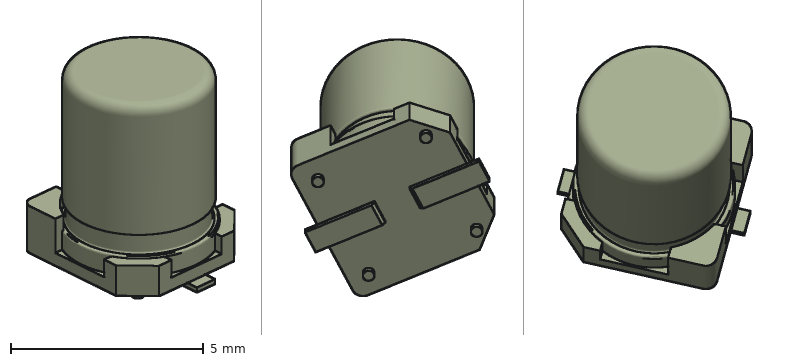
import cadquery as cq

total_height = 5.5
lead_span = 5.0
base_width = 4.3

lead_thickness = 0.15
lead_width = 0.66
lead_gap = 1.0
lead_chamfer = 0.09
foot_diameter = 0.3
foot_offset = 1.55

notch_floor_z = 0.535
low_post_z = 1.05
tall_post_z = 1.545
notch_width = 1.82
corner_radius = 0.3
corner_chamfer = 0.79
ring_radius = 2.105
ring_fillet = 0.05
ring_top_z = low_post_z + ring_fillet
post_bore_radius = ring_radius - ring_fillet

can_radius = 2.0
can_bottom_z = 1.68
can_top_fillet = 0.3
can_bottom_fillet = 0.05
neck_radius = 1.915
neck_fillet = 0.055


def cylinder(radius, bottom_z, top_z):
    """Upright cylinder on the can axis."""
    return cq.Workplane("XY").workplane(offset=bottom_z).circle(radius).extrude(top_z - bottom_z)


def base_block():
    """Square block with rounded -X corners and chamfered +X corners."""
    return (
        cq.Workplane("XY")
        .workplane(offset=lead_thickness)
        .rect(base_width, base_width)
        .extrude(tall_post_z - lead_thickness)
        .edges("|Z and <X").fillet(corner_radius)
        .edges("|Z and >X").chamfer(corner_chamfer)
    )


def cross_notch():
    """Cross-shaped clearance that leaves one post at each corner."""
    depth = tall_post_z - notch_floor_z
    plane = cq.Workplane("XY").workplane(offset=notch_floor_z)
    along_x = plane.rect(base_width, notch_width).extrude(depth)
    along_y = plane.rect(notch_width, base_width).extrude(depth)
    return along_x.union(along_y)


def low_post_clearance():
    """Space above the two lower posts on the +X side."""
    return (
        cq.Workplane("XY")
        .workplane(offset=low_post_z)
        .center(base_width / 4, 0)
        .rect(base_width / 2, base_width)
        .extrude(tall_post_z - low_post_z)
    )


def make_base():
    """Base with corner posts, a round seat for the can and four feet."""
    bore = cylinder(post_bore_radius, notch_floor_z, tall_post_z)
    ring = cylinder(ring_radius, notch_floor_z, ring_top_z).faces(">Z").edges().fillet(ring_fillet)
    feet = (
        cq.Workplane("XY")
        .rect(2 * foot_offset, 2 * foot_offset, forConstruction=True)
        .vertices()
        .circle(foot_diameter / 2)
        .extrude(lead_thickness)
    )
    block = base_block().cut(cross_notch()).cut(low_post_clearance()).cut(bore)
    return block.union(ring).union(feet)


def make_can():
    """Can with a rounded top, standing on a narrower neck that flares at its foot."""
    shell = (
        cylinder(can_radius, can_bottom_z, total_height)
        .faces(">Z").edges().fillet(can_top_fillet)
        .faces("<Z").edges().fillet(can_bottom_fillet)
    )
    flare_radius = neck_radius + neck_fillet
    flare_top_z = ring_top_z + neck_fillet
    neck = (
        cq.Workplane("XZ")
        .moveTo(0, ring_top_z)
        .lineTo(flare_radius, ring_top_z)
        .radiusArc((neck_radius, flare_top_z), neck_fillet)
        .lineTo(neck_radius, can_bottom_z)
        .lineTo(0, can_bottom_z)
        .close()
        .revolve(360, (0, 0), (0, 1))
    )
    return shell.union(neck)


def make_lead(side):
    """Flat lead under the base; side is -1 for -X and +1 for +X."""
    length = (lead_span - lead_gap) / 2
    inner_end = "<X" if side > 0 else ">X"
    return (
        cq.Workplane("XY")
        .box(length, lead_width, lead_thickness, centered=(True, True, False))
        .faces("<Z").edges(inner_end).chamfer(lead_chamfer)
        .translate((side * (lead_gap + length) / 2, 0, 0))
    )


base = make_base()
can = make_can()
leads = [make_lead(side) for side in (-1, 1)]

result = cq.Compound.makeCompound([base.val(), can.val(), *[lead.val() for lead in leads]])